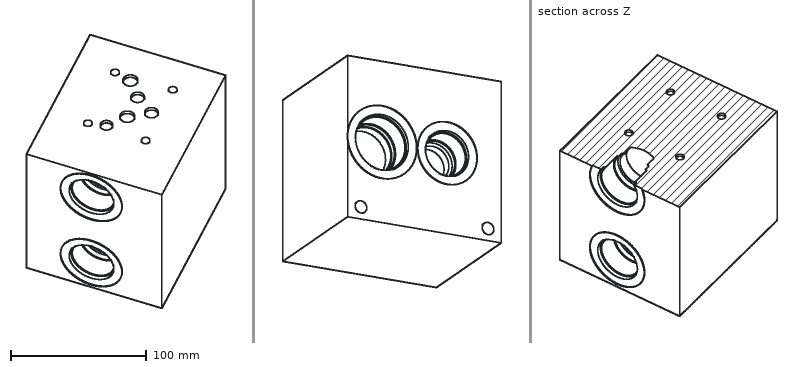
import cadquery as cq
import math

BLOCK_X = 108.0
BLOCK_Y = 127.0
BLOCK_Z = 127.0

TIP_ANGLE = 118.0
TIP_SLOPE = math.tan(math.radians(TIP_ANGLE / 2))

SPOT_DEPTH = 0.8
MOUTH_DEPTH = 4.1
THREAD_DEPTH = 19.5
TAP_DEPTH = 23.9
PASSAGE_DEPTH = 33.0
STANDARD_SPOT = 49.0
STANDARD_MOUTH = 35.5
STANDARD_THREAD = 33.3
STANDARD_TAP = 31.2
WIDE_SPOT = 57.2
WIDE_MOUTH = 43.5
WIDE_THREAD = 41.3
WIDE_TAP = 39.2
WIDE_PASSAGE = 38.1

FRONT_PORT_X = 51.5
FRONT_PORT_HEIGHTS = (27.0, 100.0)
FRONT_PASSAGE = 28.6

SIDE_PORT_Z = BLOCK_Z / 2
WIDE_PORT_Y = 98.3
STANDARD_PORT_Y = 44.5
SIDE_PASSAGE = 27.0

MOUNT_EDGE_Y = 11.0
MOUNT_Z = 9.5
MOUNT_THREAD = 9.5
MOUNT_THREAD_DEPTH = 19.0
MOUNT_DRILL = 8.8
MOUNT_DRILL_DEPTH = 22.9

VALVE_X = 31.0
VALVE_Y = 45.2
BOLT_SPACING_X = 46.0
BOLT_SPACING_Y = 54.0
BOLT_THREAD = 6.4
BOLT_THREAD_DEPTH = 15.2
BOLT_DRILL = 5.8
BOLT_DRILL_DEPTH = 19.0
VALVE_PORT_DEPTH = 2.8
VALVE_PORTS = (
    (13.5, 3.2, 9.5),
    (24.6, 16.8, 11.2),
    (39.8, 27.0, 10.3),
    (24.6, 37.3, 10.3),
    (13.5, 50.8, 11.2),
)


def front_plane(x, z):
    """Plane on the -Y face whose normal points into the block."""
    return cq.Plane(origin=(x, 0, z), xDir=(1, 0, 0), normal=(0, 1, 0))


def side_plane(y, z):
    """Plane on the -X face whose normal points into the block."""
    return cq.Plane(origin=(0, y, z), xDir=(0, 0, 1), normal=(1, 0, 0))


def top_plane(x, y):
    """Plane on the top face whose normal points into the block."""
    return cq.Plane(origin=(x, y, BLOCK_Z), xDir=(1, 0, 0), normal=(0, 0, -1))


def tip_length(diameter):
    return diameter / 2 / TIP_SLOPE


def bore(plane, stations):
    """Cutter through (diameter, depth) stations, closed by a conical drill tip."""
    outline = [(diameter / 2, depth) for diameter, depth in stations]
    tip_diameter, tip_start = stations[-1]
    tip = (0, tip_start + tip_length(tip_diameter))
    profile = cq.Workplane("XY").polyline([(0, 0)] + outline + [tip]).close()
    cutter = profile.revolve(360, (0, 0, 0), (0, 1, 0)).rotate((0, 0, 0), (1, 0, 0), 90)
    return cq.Workplane(obj=cutter.val().moved(cq.Location(plane)))


def threaded_port(plane, spot, mouth, thread, tap, passage):
    """Port cutter whose tap drill ends in a conical shoulder at the passage."""
    return bore(plane, [
        (spot, 0),
        (spot, SPOT_DEPTH),
        (mouth, SPOT_DEPTH),
        (mouth, MOUTH_DEPTH),
        (thread, MOUTH_DEPTH),
        (thread, THREAD_DEPTH),
        (tap, THREAD_DEPTH),
        (tap, TAP_DEPTH),
        (passage, TAP_DEPTH + tip_length(tap) - tip_length(passage)),
        (passage, PASSAGE_DEPTH),
    ])


def standard_port(plane, passage):
    """Threaded port of the standard size, with its own passage diameter."""
    return threaded_port(plane, STANDARD_SPOT, STANDARD_MOUTH, STANDARD_THREAD, STANDARD_TAP, passage)


def tapped_hole(plane, thread, thread_depth, drill, drill_depth):
    return bore(plane, [(thread, 0), (thread, thread_depth), (drill, thread_depth), (drill, drill_depth)])


result = cq.Workplane("XY").box(BLOCK_X, BLOCK_Y, BLOCK_Z, centered=False)

for height in FRONT_PORT_HEIGHTS:
    result = result.cut(standard_port(front_plane(FRONT_PORT_X, height), FRONT_PASSAGE))

result = result.cut(standard_port(side_plane(STANDARD_PORT_Y, SIDE_PORT_Z), SIDE_PASSAGE))
wide_port_plane = side_plane(WIDE_PORT_Y, SIDE_PORT_Z)
wide_port = threaded_port(wide_port_plane, WIDE_SPOT, WIDE_MOUTH, WIDE_THREAD, WIDE_TAP, WIDE_PASSAGE)
result = result.cut(wide_port)

for y in (MOUNT_EDGE_Y, BLOCK_Y - MOUNT_EDGE_Y):
    result = result.cut(tapped_hole(side_plane(y, MOUNT_Z), MOUNT_THREAD, MOUNT_THREAD_DEPTH,
                                    MOUNT_DRILL, MOUNT_DRILL_DEPTH))

for x in (VALVE_X, VALVE_X + BOLT_SPACING_X):
    for y in (VALVE_Y, VALVE_Y + BOLT_SPACING_Y):
        result = result.cut(tapped_hole(top_plane(x, y), BOLT_THREAD, BOLT_THREAD_DEPTH,
                                        BOLT_DRILL, BOLT_DRILL_DEPTH))

for offset_x, offset_y, diameter in VALVE_PORTS:
    plane = top_plane(VALVE_X + offset_x, VALVE_Y + offset_y)
    result = result.cut(bore(plane, [(diameter, 0), (diameter, VALVE_PORT_DEPTH)]))